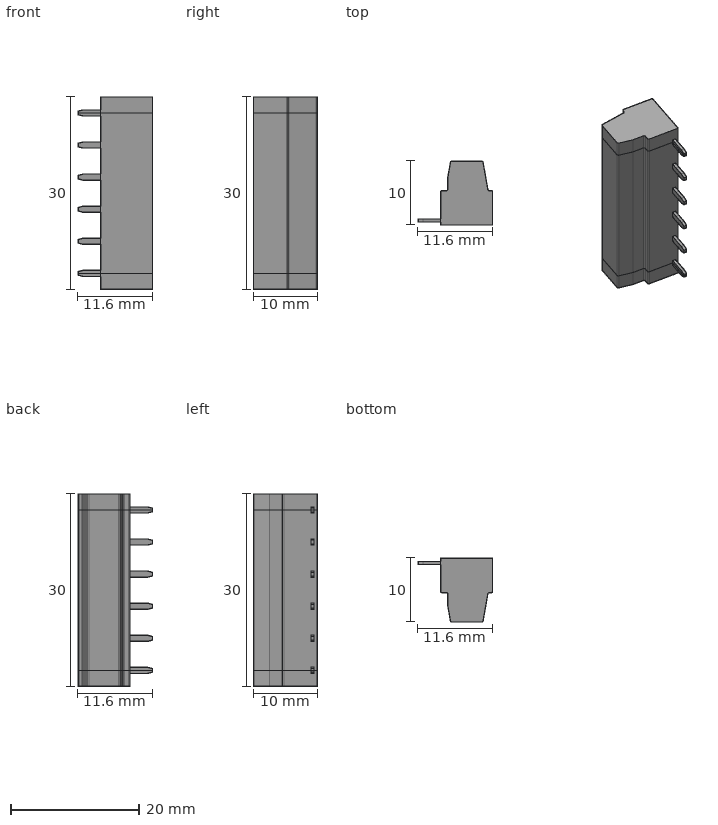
import cadquery as cq
import math


strip_length = 30.0
block_width = 8.1
block_height = 10.0
shoulder_height = 5.4
pin_side_ledge = 1.1
far_side_ledge = 0.7
bend_height = 7.5
wall_lean = 10.0
top_radius = 0.27
shoulder_radius = 0.2

pin_count = 6
pin_pitch = strip_length / pin_count
pin_reach = 3.5
pin_width = 1.0
pin_thickness = 0.5
pin_centre_height = 0.75
pin_tip_width = 0.57
pin_taper_length = 0.78

lower_joint = pin_pitch / 2
upper_joint = strip_length - lower_joint


def block(bottom, top):
    """Length of the stepped block between two Z levels."""
    lean = math.tan(math.radians(wall_lean))
    wall_foot_x = block_width - far_side_ledge
    top_left_x = pin_side_ledge + (block_height - bend_height) * lean
    top_right_x = wall_foot_x - (block_height - shoulder_height) * lean
    body = (
        cq.Workplane("XY", origin=(0, 0, bottom))
        .moveTo(0, 0)
        .lineTo(block_width, 0)
        .lineTo(block_width, shoulder_height)
        .lineTo(wall_foot_x, shoulder_height)
        .lineTo(top_right_x, block_height)
        .lineTo(top_left_x, block_height)
        .lineTo(pin_side_ledge, bend_height)
        .lineTo(pin_side_ledge, shoulder_height)
        .lineTo(0, shoulder_height)
        .close()
        .extrude(top - bottom)
    )
    body = body.faces(">Y").edges("|Z").fillet(top_radius)
    shoulder_faces = body.faces("+Y").faces("<Y")
    return shoulder_faces.edges("|Z").fillet(shoulder_radius)


def pin(centre_z):
    """Flat pin with a tapered tip, rooted on the side of the block."""
    taper_start_x = pin_taper_length - pin_reach
    return (
        cq.Workplane("XZ", origin=(0, pin_centre_height, centre_z))
        .moveTo(0, pin_width / 2)
        .lineTo(taper_start_x, pin_width / 2)
        .lineTo(-pin_reach, pin_tip_width / 2)
        .lineTo(-pin_reach, -pin_tip_width / 2)
        .lineTo(taper_start_x, -pin_width / 2)
        .lineTo(0, -pin_width / 2)
        .close()
        .extrude(pin_thickness / 2, both=True)
    )


def section(bottom, top, pin_heights):
    """Block with its pins; a pin on a joint keeps only the half on this side of it."""
    body = block(bottom, top)
    pin_space = (
        cq.Workplane("XY", origin=(0, 0, bottom))
        .rect(2 * pin_reach, 2 * block_height)
        .extrude(top - bottom)
    )
    for height in pin_heights:
        body = body.union(pin(height).intersect(pin_space))
    return body


def end_section(bottom, top, joint):
    """Plain end of the strip carrying half of the pin on its joint."""
    return section(bottom, top, [joint])


def middle_section():
    """Length between the joints: whole inner pins and half a pin at each end."""
    pin_heights = [lower_joint + index * pin_pitch for index in range(pin_count)]
    return section(lower_joint, upper_joint, pin_heights)


end_spans = [(0, lower_joint, lower_joint), (upper_joint, strip_length, upper_joint)]
end_sections = [end_section(bottom, top, joint).solids().val() for bottom, top, joint in end_spans]
middle = middle_section().solids().val()

result = cq.Compound.makeCompound([*end_sections, middle])